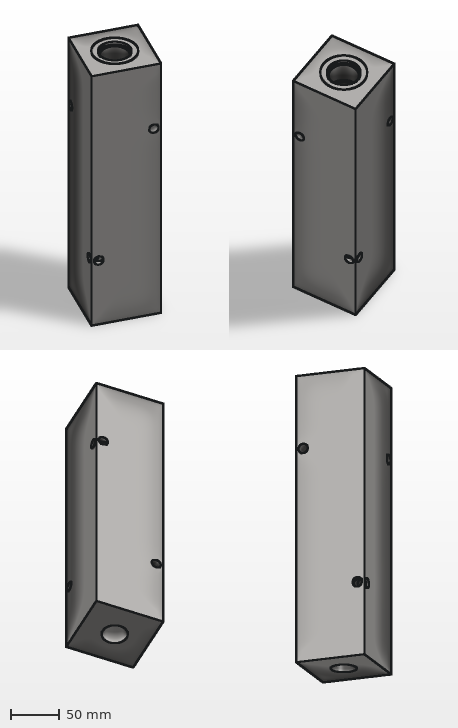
import cadquery as cq
import math

length = 311.0
width = 76.2

bore_diameter = 27.0
spotface_diameter = 49.0
spotface_depth = 0.5
mouth_diameter = 35.2
mouth_depth = 3.0
mouth_taper = 12.0
port_diameter = 31.0
port_depth = 28.0
port_floor_taper = 59.0

cross_hole_diameter = 10.3
cross_hole_offset = 30.2
cross_hole_height = 76.0


def make_port_cutter():
    """Revolved cutter for the bore, the port, its tapered mouth and its spotface."""
    top = length / 2
    bore_radius = bore_diameter / 2
    port_radius = port_diameter / 2
    mouth_radius = mouth_diameter / 2
    spotface_radius = spotface_diameter / 2

    spotface_floor = top - spotface_depth
    taper_end = spotface_floor - mouth_depth
    taper_end_radius = mouth_radius - mouth_depth * math.tan(math.radians(mouth_taper))
    chamfer_end = taper_end - (taper_end_radius - port_radius)
    wall_end = top - port_depth
    floor_end = wall_end - (port_radius - bore_radius) / math.tan(math.radians(port_floor_taper))

    profile = [
        (0, -top),
        (bore_radius, -top),
        (bore_radius, floor_end),
        (port_radius, wall_end),
        (port_radius, chamfer_end),
        (taper_end_radius, taper_end),
        (mouth_radius, spotface_floor),
        (spotface_radius, spotface_floor),
        (spotface_radius, top),
        (0, top),
    ]
    return cq.Workplane("YZ").polyline(profile).close().revolve(360, (0, 0), (0, 1))


def make_cross_holes(plane, side):
    """Two through holes on opposite sides of the block, one high and one low.

    side is the sign of the sideways offset of the upper hole.
    """
    upper = (side * cross_hole_offset, cross_hole_height)
    lower = (-side * cross_hole_offset, -cross_hole_height)
    return (
        cq.Workplane(plane)
        .pushPoints([upper, lower])
        .circle(cross_hole_diameter / 2)
        .extrude(width / 2, both=True)
    )


block = cq.Workplane("XY").box(width, width, length)

result = (
    block.cut(make_port_cutter())
    .cut(make_cross_holes("XZ", -1))
    .cut(make_cross_holes("YZ", 1))
)